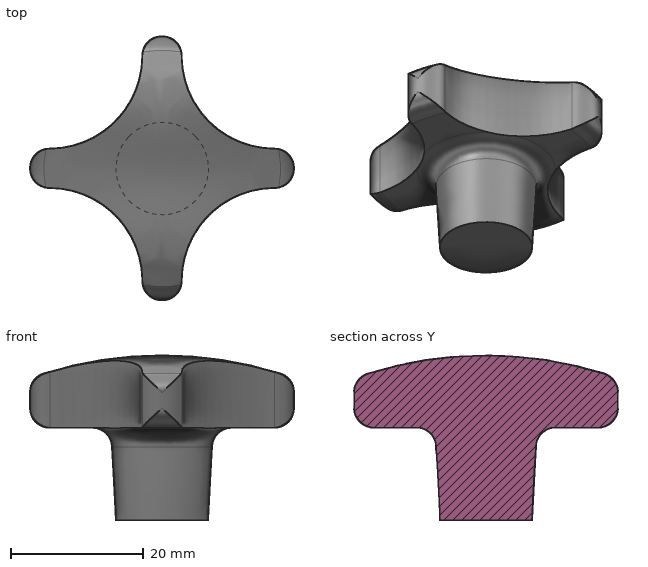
import cadquery as cq
import math

height = 25.0
head_radius = 20.0
head_bottom = 14.0
dome_radius = 60.0

arm_count = 4
edge_round = 3.0
tip_radius = 3.0
tip_center = head_radius - tip_radius
scallop_radius = tip_center - tip_radius

stem_bottom_radius = 7.0
stem_top_radius = 7.6
neck_round = 2.9


def polar_point(center, radius, angle):
    """Point on a circle, with the angle measured from the first axis."""
    return (center[0] + radius * math.cos(angle), center[1] + radius * math.sin(angle))


def knob_blank():
    """Stem, concave neck and domed round head, revolved about Z."""
    neck_bottom = head_bottom - neck_round
    flare_center = (stem_top_radius + neck_round, neck_bottom)
    flare_end = (flare_center[0], head_bottom)

    round_radius = head_radius - edge_round
    dome_center = (0, height - dome_radius)
    touch_angle = math.acos(round_radius / (dome_radius - edge_round))
    upper_center = polar_point(dome_center, dome_radius - edge_round, touch_angle)
    lower_center = (round_radius, head_bottom + edge_round)

    blank = (
        cq.Workplane("XZ")
        .lineTo(stem_bottom_radius, 0)
        .lineTo(stem_top_radius, neck_bottom)
        .threePointArc(polar_point(flare_center, neck_round, math.radians(135)), flare_end)
        .lineTo(round_radius, head_bottom)
        .threePointArc(
            polar_point(lower_center, edge_round, math.radians(-45)),
            (head_radius, lower_center[1]),
        )
        .lineTo(head_radius, upper_center[1])
        .threePointArc(
            polar_point(upper_center, edge_round, touch_angle / 2),
            polar_point(upper_center, edge_round, touch_angle),
        )
        .threePointArc(
            polar_point(dome_center, dome_radius, (touch_angle + math.pi / 2) / 2),
            (0, height),
        )
        .close()
        .revolve(360, (0, 0), (0, 1))
    )
    return blank.rotate((0, 0, 0), (0, 0, 1), 180 / arm_count)


def star_prism():
    """Four round-tipped arms joined by scallops tangent to the tips."""
    scallop_mid = tip_center - scallop_radius * math.sqrt(0.5)

    def turned(x, y, quarter):
        for _ in range(quarter):
            x, y = -y, x
        return (x, y)

    outline = cq.Workplane("XY").moveTo(tip_center, -tip_radius)
    for quarter in range(arm_count):
        tip_end = turned(tip_center, tip_radius, quarter)
        scallop_end = turned(tip_radius, tip_center, quarter)
        outline = outline.threePointArc(turned(head_radius, 0, quarter), tip_end)
        outline = outline.threePointArc(turned(scallop_mid, scallop_mid, quarter), scallop_end)
    return outline.close().extrude(height)


result = knob_blank().intersect(star_prism())